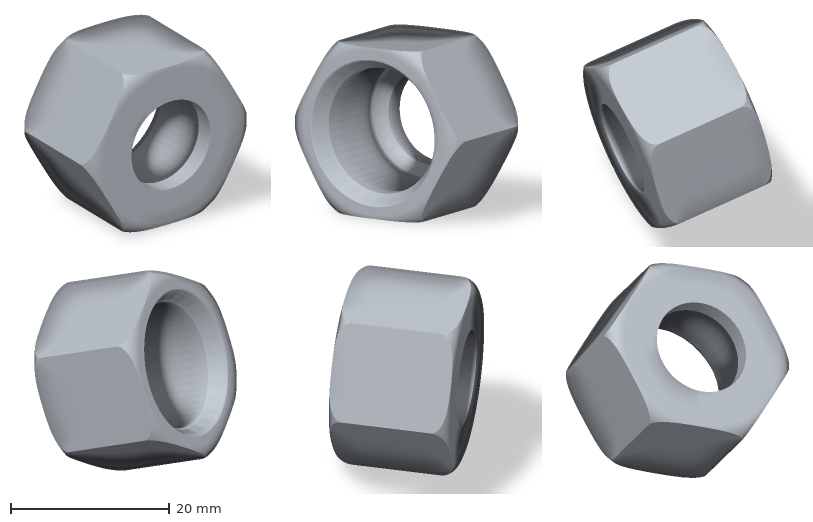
import cadquery as cq
import math

length = 15.5
across_corners = 25.4
corner_rounding = 2.03

mouth_diameter = 18.85
lead_in_diameter = 18.55
lead_in_depth = 0.1
mouth_depth = 2.15
thread_diameter = 16.1
thread_end = 11.5
seat_diameter = 15.1
tube_diameter = 12.22
seat_half_angle = 45.0
seat_depth = (seat_diameter - tube_diameter) / 2 / math.tan(math.radians(seat_half_angle))


def hexagonal_body():
    """Hexagon with corners on +Y and -Y, its ends rounded by a turned envelope."""
    hexagon = cq.Workplane("YZ").polygon(6, across_corners).extrude(length)
    envelope = (
        cq.Workplane("YZ")
        .circle(across_corners / 2)
        .extrude(length)
        .edges()
        .fillet(corner_rounding)
    )
    return hexagon.intersect(envelope)


def stepped_bore():
    """Turned cutter: flared mouth, threaded length, conical seat and tube hole."""
    profile = [
        (0, 0),
        (0, mouth_diameter / 2),
        (lead_in_depth, lead_in_diameter / 2),
        (mouth_depth, thread_diameter / 2),
        (thread_end, thread_diameter / 2),
        (thread_end, seat_diameter / 2),
        (thread_end + seat_depth, tube_diameter / 2),
        (length, tube_diameter / 2),
        (length, 0),
    ]
    return cq.Workplane("XY").polyline(profile).close().revolve(360, (0, 0, 0), (1, 0, 0))


result = hexagonal_body().cut(stepped_bore())